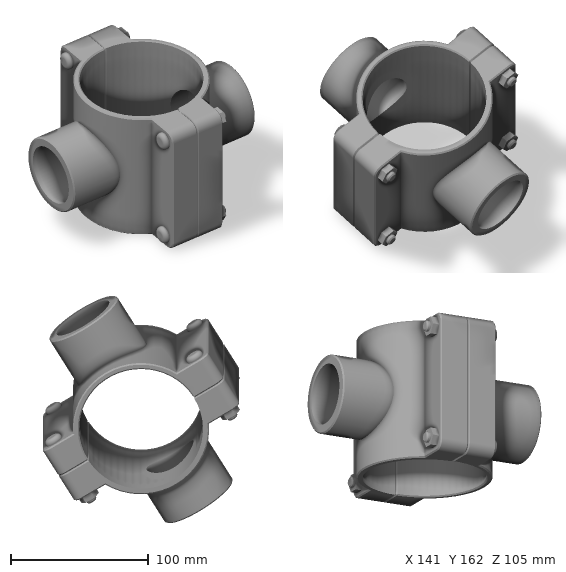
import cadquery as cq
import math

HEIGHT = 105.0
WIDTH = 141.0
BORE_RADIUS = 45.0
SHELL_RADIUS = 49.5
FLANGE_DEPTH = 22.5
FLANGE_CORNER_RADIUS = 7.3
EDGE_CHAMFER = 1.0

PIPE_REACH = 81.0
PIPE_RADIUS = 58.3 / 2
PIPE_SEAT_DEPTH = 1.0
PASSAGE_RADIUS = 40.0 / 2
SOCKET_RADIUS = 44.9 / 2
SOCKET_DEPTH = 25.0

BOLT_X = 60.1
BOLT_Z = 42.5
HEAD_RADIUS = 13.0 / 2
HEAD_HEIGHT = 4.0
HEAD_FILLET = 3.0
NUT_ACROSS_FLATS = 13.0
NUT_HEIGHT = 5.0
BOLT_RADIUS = 8.0 / 2
BOLT_END = 30.5

TOLERANCE = 0.002


def front_cylinder(radius, start, end):
    """Cylinder along Y, from distance start to distance end in front of the parting plane."""
    return cq.Workplane("XZ").workplane(offset=start).circle(radius).extrude(end - start)


def upright_cylinder(radius):
    """Full-height cylinder on the Z axis."""
    return cq.Workplane("XY").circle(radius).extrude(HEIGHT / 2, both=True)


def turn_to_back(body):
    return body.rotate((0, 0, 0), (0, 0, 1), 180)


def half_shell(bore_rim_chamfered):
    """Front half shell with both flanges and chamfered rims."""
    front_space = cq.Workplane("XZ").rect(WIDTH, HEIGHT).extrude(SHELL_RADIUS)
    flanges = (
        cq.Workplane("XZ").rect(WIDTH, HEIGHT).extrude(FLANGE_DEPTH)
        .edges("|Y").fillet(FLANGE_CORNER_RADIUS)
    )
    shell = (
        upright_cylinder(SHELL_RADIUS).intersect(front_space)
        .union(flanges)
        .cut(upright_cylinder(BORE_RADIUS))
    )

    neck_x = math.sqrt(SHELL_RADIUS**2 - FLANGE_DEPTH**2)

    def is_chamfered(edge):
        center = edge.Center()
        if math.hypot(abs(center.x) - neck_x, center.y + FLANGE_DEPTH) < TOLERANCE:
            return False
        is_bore_rim = edge.geomType() == "CIRCLE" and abs(edge.radius() - BORE_RADIUS) < TOLERANCE
        return bore_rim_chamfered or not is_bore_rim

    rims = [edge for edge in shell.edges("not |Y").vals() if is_chamfered(edge)]
    return shell.newObject(rims).chamfer(EDGE_CHAMFER)


def pipe_blank():
    """Solid front pipe, its inner end curved to sit just below the shell surface."""
    return (
        front_cylinder(PIPE_RADIUS, 0, PIPE_REACH)
        .faces("<Y").chamfer(EDGE_CHAMFER)
        .cut(upright_cylinder(SHELL_RADIUS - PIPE_SEAT_DEPTH))
    )


def make_pipe():
    """Front branch pipe with a through passage and a wider socket at its mouth."""
    return (
        pipe_blank()
        .cut(front_cylinder(PASSAGE_RADIUS, 0, PIPE_REACH))
        .cut(front_cylinder(SOCKET_RADIUS, PIPE_REACH - SOCKET_DEPTH, PIPE_REACH))
    )


def bolt_head():
    """Round head on the front flange face."""
    head = front_cylinder(HEAD_RADIUS, FLANGE_DEPTH, FLANGE_DEPTH + HEAD_HEIGHT)
    return head.faces("<Y").edges().fillet(HEAD_FILLET)


def nut_and_bolt_end():
    """Hexagonal nut on the back flange face with the bolt end standing out of it."""
    across_corners = NUT_ACROSS_FLATS / math.cos(math.radians(30))
    nut = cq.Workplane("XZ").workplane(offset=FLANGE_DEPTH).polygon(6, across_corners).extrude(NUT_HEIGHT)
    bolt_end = front_cylinder(BOLT_RADIUS, FLANGE_DEPTH, BOLT_END).faces("<Y").chamfer(EDGE_CHAMFER)
    return turn_to_back(nut.union(bolt_end))


def make_clamp():
    """Closed clamp: both half shells and the fasteners that join them, with a seat for each pipe."""
    clamp = half_shell(bore_rim_chamfered=True)
    clamp = clamp.union(turn_to_back(half_shell(bore_rim_chamfered=False)))
    for x in (-BOLT_X, BOLT_X):
        for z in (-BOLT_Z, BOLT_Z):
            for fastener in (bolt_head(), nut_and_bolt_end()):
                clamp = clamp.union(fastener.translate((x, 0, z)))
    for opening in (pipe_blank(), front_cylinder(PASSAGE_RADIUS, 0, PIPE_REACH)):
        clamp = clamp.cut(opening).cut(turn_to_back(opening))
    return clamp


clamp = make_clamp()
front_pipe = make_pipe()
pipes = [front_pipe, turn_to_back(front_pipe)]

result = cq.Compound.makeCompound([body.solids().val() for body in (clamp, *pipes)])